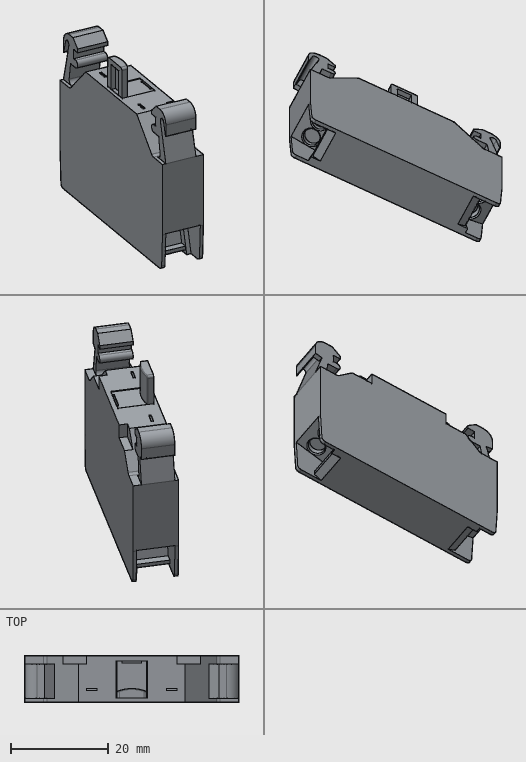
import cadquery as cq
import math

LENGTH = 44.0
THICKNESS = 9.6
HEIGHT = 37.9
HALF = LENGTH / 2
DECK_Z = 31.05
DECK_HALF = 10.95
SHOULDER_Z = 24.35
SHOULDER_FILLET = 1.1
SKIRT_Z = 8.15
SKIRT_INSET = 0.4
FOOT_FILLET = 0.95

FRONT_WALL = 0.8
CLIP_BACK_Y = 7.85
POCKET_BACK_Y = 8.85

TILT = 15.0
LEAN = math.tan(math.radians(TILT))
COS_TILT = math.cos(math.radians(TILT))

HOOK_TOP_Z = 35.75
HOOK_RADIUS = 2.5
HOOK_FLAT_END_X = -17.85
HOOK_NOSE_X = -15.9
HOOK_NOSE_Z = 33.95
HOOK_NOSE_BOTTOM_Z = 33.1
HOOK_TIP_Z = 30.6
THROAT_X = -17.55
KNOB_RADIUS = 0.9
KNOB_TOP_Z = 31.0
LEG_INNER_TOP_X = -18.9
LEG_INNER_X = -19.55
SLOT_WIDTH = 1.45
SLOT_TOP_Z = 33.95
SLOT_WEB = 1.05

NOTCH_INNER_X = 9.25
NOTCH_FLOOR_Z = 27.9
SLIT_X = 8.25
SLIT_Y = 2.6
SLIT_LENGTH = 2.2
SLIT_WIDTH = 0.45
SLIT_DEPTH = 0.2

WINDOW_HALF = 3.2
WINDOW_BACK_Y = 8.45
WINDOW_DEPTH = 0.1
GAP_WIDTH = 0.18
GAP_DEPTH = 0.45
CATCH_LENGTH = 4.05
CATCH_WIDTH = 0.45
PLUNGER_FRONT_Y = 0.85
PLUNGER_SIDE_Y = 2.2
PLUNGER_CROWN_Y = 2.8
PLUNGER_FILLET = 0.55
PLUNGER_BACK_FILLET = 0.18
RECESS_HALF = 1.6
RECESS_TOP_Z = 36.7
RECESS_DEPTH = 1.0

ROOF_OUTER_Z = 8.25
RIB_FOOT_X = -18.05
PANEL_TOP_X = -14.65
SILL_X = -17.5
SILL_TOP_Z = 1.75
SILL_BOTTOM_Z = 0.9
SILL_UNDERCUT = 1.7
SCREW_X = -18.4
SCREW_SPACING = 4.0
SCREW_DIAMETER = 3.5
SCREW_MOUTH_DIAMETER = SCREW_SPACING
SCREW_MOUTH_DEPTH = 0.35
SCREW_DEPTH = 1.75


def slab(outline, y_start, y_end):
    """Extrude a closed XZ outline between two depths."""
    return outline.close().extrude(y_start - y_end).translate((0, y_start, 0))


def block(x_min, x_max, y_min, y_max, z_min, z_max):
    size = (x_max - x_min, y_max - y_min, z_max - z_min)
    return cq.Workplane("XY").box(*size, centered=False).translate((x_min, y_min, z_min))


def both_ends(shape):
    return shape.union(shape.mirror("YZ"))


def housing():
    slope_foot = DECK_HALF + DECK_Z - SHOULDER_Z
    left = [
        (-HALF + SKIRT_INSET, 0),
        (-HALF, SKIRT_Z),
        (-HALF, SHOULDER_Z),
        (-slope_foot, SHOULDER_Z),
        (-DECK_HALF, DECK_Z),
    ]
    right = [(-x, z) for x, z in reversed(left)]
    body = slab(cq.Workplane("XZ").polyline(left + right), 0, THICKNESS)
    for side in (-1, 1):
        foot = cq.selectors.NearestToPointSelector((side * (HALF - SKIRT_INSET), THICKNESS / 2, 0))
        body = body.edges(foot).fillet(FOOT_FILLET)
        corner = cq.selectors.NearestToPointSelector((side * slope_foot, THICKNESS / 2, SHOULDER_Z))
        body = body.edges(corner).fillet(SHOULDER_FILLET)
    return body


def clip():
    knob_z = KNOB_TOP_Z - KNOB_RADIUS
    knob_x = HOOK_NOSE_X - KNOB_RADIUS
    arc_inset = HOOK_RADIUS * (1 - math.sqrt(0.5))
    root_bulge = SHOULDER_FILLET * math.sqrt(0.5)
    root_x = LEG_INNER_X + SHOULDER_FILLET
    root_z = SHOULDER_Z + SHOULDER_FILLET
    reach = (HOOK_TIP_Z - SHOULDER_Z) * LEAN / (1 + LEAN**2)
    outline = (
        cq.Workplane("XZ")
        .moveTo(-HALF, SHOULDER_Z)
        .lineTo(-HALF + reach, HOOK_TIP_Z - reach * LEAN)
        .lineTo(-HALF, HOOK_TIP_Z)
        .lineTo(-HALF, HOOK_TOP_Z - HOOK_RADIUS)
        .threePointArc((-HALF + arc_inset, HOOK_TOP_Z - arc_inset), (-HALF + HOOK_RADIUS, HOOK_TOP_Z))
        .lineTo(HOOK_FLAT_END_X, HOOK_TOP_Z)
        .lineTo(HOOK_NOSE_X, HOOK_NOSE_Z)
        .lineTo(HOOK_NOSE_X, HOOK_NOSE_BOTTOM_Z)
        .lineTo(THROAT_X, HOOK_NOSE_BOTTOM_Z)
        .lineTo(THROAT_X, KNOB_TOP_Z)
        .lineTo(knob_x, KNOB_TOP_Z)
        .threePointArc((HOOK_NOSE_X, knob_z), (knob_x, knob_z - KNOB_RADIUS))
        .lineTo(LEG_INNER_TOP_X, knob_z - KNOB_RADIUS)
        .lineTo(LEG_INNER_X, root_z)
        .threePointArc((root_x - root_bulge, root_z - root_bulge), (root_x, SHOULDER_Z))
    )
    return slab(outline, FRONT_WALL, CLIP_BACK_Y).cut(clip_slot())


def clip_slot():
    """Round-ended slot that lies along the outer face of the leg."""
    radius = SLOT_WIDTH / 2
    end_z = SLOT_TOP_Z - radius
    end_x = -HALF + (end_z - SHOULDER_Z) * LEAN - radius / COS_TILT
    length = end_z - SHOULDER_Z
    back_y = CLIP_BACK_Y - SLOT_WEB
    round_end = cq.Workplane("XZ").circle(radius).extrude(FRONT_WALL - back_y).translate((0, FRONT_WALL, 0))
    slot = block(-radius, radius, FRONT_WALL, back_y, -length, 0).union(round_end)
    return slot.rotate((0, 0, 0), (0, 1, 0), TILT).translate((end_x, 0, end_z))


def back_notch():
    return block(-HALF, -NOTCH_INNER_X, CLIP_BACK_Y, THICKNESS, NOTCH_FLOOR_Z, DECK_Z)


def deck_slit():
    slit = cq.Workplane("XY").box(SLIT_LENGTH, SLIT_WIDTH, 2 * SLIT_DEPTH)
    return slit.translate((-SLIT_X, SLIT_Y, DECK_Z))


def slide_window():
    """Shallow window over the slide, with a gap along each side and a catch groove at the back."""
    floor_z = DECK_Z - WINDOW_DEPTH
    gap_floor_z = DECK_Z - GAP_DEPTH
    front, back = PLUNGER_FRONT_Y, WINDOW_BACK_Y
    half_catch = CATCH_LENGTH / 2
    window = block(-WINDOW_HALF, WINDOW_HALF, front, back, floor_z, DECK_Z)
    gap = block(-WINDOW_HALF, -WINDOW_HALF + GAP_WIDTH, front, back, gap_floor_z, DECK_Z)
    catch = block(-half_catch, half_catch, back - CATCH_WIDTH, back, gap_floor_z, DECK_Z)
    return window.union(both_ends(gap)).union(catch)


def plunger():
    half = WINDOW_HALF - GAP_WIDTH
    base_z = DECK_Z - GAP_DEPTH
    floor_z = DECK_Z - WINDOW_DEPTH
    body = (
        cq.Workplane("XY", origin=(0, 0, base_z))
        .moveTo(-half, PLUNGER_FRONT_Y)
        .lineTo(half, PLUNGER_FRONT_Y)
        .lineTo(half, PLUNGER_SIDE_Y)
        .threePointArc((0, PLUNGER_CROWN_Y), (-half, PLUNGER_SIDE_Y))
        .close()
        .extrude(HEIGHT - base_z)
    )
    body = body.faces(">Z").edges("|Y").fillet(PLUNGER_FILLET)
    body = body.faces(">Y").edges().fillet(PLUNGER_BACK_FILLET)
    front, recess_back = PLUNGER_FRONT_Y, PLUNGER_FRONT_Y + RECESS_DEPTH
    return body.cut(block(-RECESS_HALF, RECESS_HALF, front, recess_back, floor_z, RECESS_TOP_Z))


def roof_z(x):
    """Height of the sloping roof of the terminal pocket."""
    return ROOF_OUTER_Z - (x + HALF) * LEAN


def terminal_pocket():
    """Pocket with a leaning back panel, an undercut sill, a shallower rib at the rear and two screw holes."""
    rib_top_z = roof_z(RIB_FOOT_X) / (1 + LEAN**2)
    rib_top_x = RIB_FOOT_X + rib_top_z * LEAN
    entry = cq.Workplane("XZ").polyline([
        (-HALF, 0),
        (RIB_FOOT_X, 0),
        (rib_top_x, rib_top_z),
        (-HALF, ROOF_OUTER_Z),
    ])
    panel_top_z = roof_z(PANEL_TOP_X)
    panel = cq.Workplane("XZ").polyline([
        (-HALF, 0),
        (SILL_X + SILL_UNDERCUT, 0),
        (SILL_X, SILL_BOTTOM_Z),
        (SILL_X, SILL_TOP_Z),
        (PANEL_TOP_X - (panel_top_z - SILL_TOP_Z) * LEAN, SILL_TOP_Z),
        (PANEL_TOP_X, panel_top_z),
        (-HALF, ROOF_OUTER_Z),
    ])
    pocket = slab(entry, FRONT_WALL, POCKET_BACK_Y).union(slab(panel, FRONT_WALL, CLIP_BACK_Y))
    middle_y = (FRONT_WALL + POCKET_BACK_Y) / 2
    for side in (-1, 1):
        pocket = pocket.union(screw_hole(middle_y + side * SCREW_SPACING / 2))
    return pocket


def screw_hole(y):
    """Hole with a conical mouth, square to the pocket roof."""
    radius = SCREW_DIAMETER / 2
    profile = cq.Workplane("XZ").polyline([
        (0, 0),
        (SCREW_MOUTH_DIAMETER / 2, 0),
        (radius, SCREW_MOUTH_DEPTH),
        (radius, SCREW_DEPTH),
        (0, SCREW_DEPTH),
    ])
    hole = profile.close().revolve(360, (0, 0, 0), (0, 1, 0))
    return hole.rotate((0, 0, 0), (0, 1, 0), TILT).translate((SCREW_X, y, roof_z(SCREW_X)))


cuts = [back_notch(), deck_slit(), terminal_pocket()]
result = housing().union(both_ends(clip()))
for cut in cuts:
    result = result.cut(both_ends(cut))
result = result.cut(slide_window()).union(plunger())